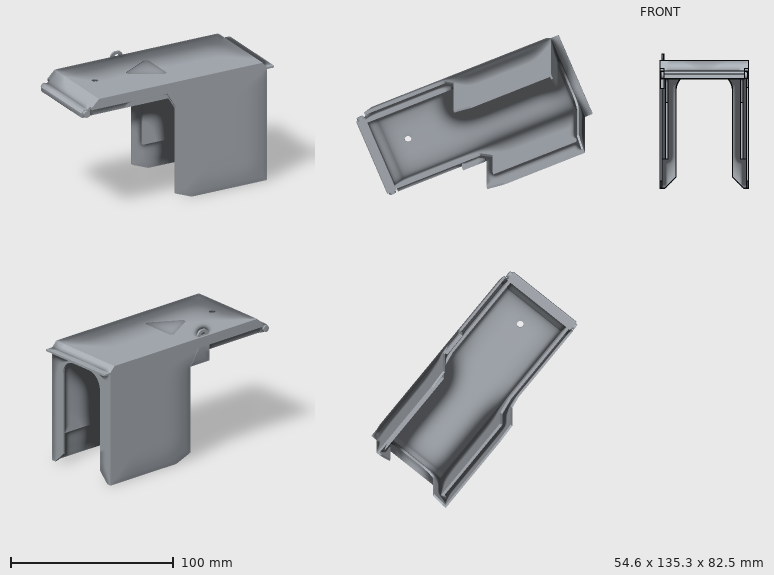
import cadquery as cq
import math


width = 54.6
wall = 1.3
lid_thickness = 1.5
lid_top = 78.5
rear_chamfer_y = 3.2
rear_chamfer_z = 3.6
side_length = 64.9
side_foot_run = 11.4
side_foot_rise = 4.4
lip_bottom = 72.0
throat_bottom = 62.0
throat_run = 6.0
nose_start = 119.25
half_width = width / 2
throat_slope = throat_run / (lip_bottom - throat_bottom)
nose_end = nose_start + lid_top - lip_bottom

flange_length = 5.0
flange_thickness = 1.2
flange_top = lid_top - rear_chamfer_z

opening_width = 34.6
opening_top = 70.3
opening_radius = 10.0
opening_foot = 7.0

bar_back = 124.2
bar_front = 130.35
bar_inset = 2.5
bar_bottom = 67.1
bar_bevel = 1.8
bar_edge_break = 0.4
pin_radius = 2.15
pin_inset = 0.8
pin_y = -127.3
pin_z = 69.5

rail_inset = 3.45
rail_thickness = 1.65
rail_length = 59.4
rail_bottom = 17.9

clip_inset = 0.4
clip_outer_inset = 2.5
clip_front = 80.85
clip_bottom = 61.2
clip_gap = 1.35
loop_inset = 1.3
loop_radius = 4.35
loop_height = 4.0
eye_radius = 2.0
eye_sill = 0.3

arrow_base_y = -62.1
arrow_tip_y = -83.8
arrow_side = 27.6
arrow_corner = 2.4
arrow_depth = 0.4
hole_diameter = 4.1
hole_y = -106.3


def plate(points, x_start, x_end):
    """Side profile given as (y, z) points, extruded from x_start to x_end."""
    return cq.Workplane("YZ", origin=(x_start, 0, 0)).polyline(points).close().extrude(x_end - x_start)


def both_sides(solid):
    """A solid together with its mirror image across the mid-plane of the cover."""
    return solid.union(solid.mirror("YZ"))


def throat_y(z):
    """Y of the oblique line between side wall and lip at height z."""
    return -side_length - throat_slope * (z - throat_bottom)


def make_shell():
    outline = [
        (0, 0),
        (0, flange_top),
        (-rear_chamfer_y, lid_top),
        (-nose_start, lid_top),
        (-nose_end, lip_bottom),
        (throat_y(lip_bottom), lip_bottom),
        (-side_length, throat_bottom),
        (-side_length, side_foot_rise),
        (-side_length + side_foot_run, 0),
    ]
    shell = plate(outline, -half_width, half_width)

    ceiling = lid_top - lid_thickness
    nose_shift = lid_thickness * math.tan(math.pi / 8)
    rear_angle = math.atan2(rear_chamfer_z, rear_chamfer_y)
    rear_shift = lid_thickness * math.tan(rear_angle / 2)
    cavity_corner_y = -rear_chamfer_y - rear_shift
    chamfer_foot_z = ceiling - (-wall - cavity_corner_y) * math.tan(rear_angle)
    cavity_nose_y = -nose_start + nose_shift
    cavity = [
        (-wall, 0),
        (-wall, chamfer_foot_z),
        (cavity_corner_y, ceiling),
        (cavity_nose_y, ceiling),
        (cavity_nose_y - ceiling, 0),
    ]
    return shell.cut(plate(cavity, -half_width + wall, half_width - wall))


def make_nose_notch():
    size_y = nose_end - bar_back
    notch = cq.Workplane("XY").box(bar_inset, size_y, lid_top, centered=False)
    return both_sides(notch.translate((-half_width, -nose_end, 0)))


def make_flange():
    flange = cq.Workplane("XY").box(width, flange_length + wall, flange_thickness, centered=False)
    return flange.translate((-half_width, -wall, flange_top - flange_thickness))


def make_rear_opening():
    arch = (
        cq.Workplane("XZ")
        .rect(opening_width, 2 * opening_top)
        .extrude(wall)
        .edges("|Y and >Z")
        .fillet(opening_radius)
    )
    half_opening = opening_width / 2
    flare = (
        cq.Workplane("XZ")
        .moveTo(-half_opening - opening_foot, 0)
        .lineTo(-half_opening, opening_foot)
        .lineTo(half_opening, opening_foot)
        .lineTo(half_opening + opening_foot, 0)
        .close()
        .extrude(wall)
    )
    return arch.union(flare)


def make_hinge():
    profile = [
        (-bar_back, bar_bottom),
        (-bar_back, lid_top - (bar_back - nose_start)),
        (-nose_end, lip_bottom),
        (-bar_front + bar_bevel, lip_bottom),
        (-bar_front, lip_bottom - bar_bevel),
        (-bar_front, bar_bottom + bar_edge_break),
        (-bar_front + bar_edge_break, bar_bottom),
    ]
    bar = plate(profile, -half_width + bar_inset, half_width - bar_inset)
    pin_length = width - 2 * pin_inset
    pin = cq.Workplane("YZ").center(pin_y, pin_z).circle(pin_radius).extrude(pin_length / 2, both=True)
    return bar.union(pin)


def make_rails():
    rail_top = lid_top - lid_thickness / 2
    rail_throat_z = throat_bottom - (side_length - rail_length) / throat_slope
    profile = [
        (-wall / 2, rail_bottom),
        (-wall / 2, flange_top - flange_thickness),
        (-rear_chamfer_y - wall / 2, rail_top),
        (-nose_start, rail_top),
        (-bar_back, lip_bottom),
        (-bar_back, bar_bottom),
        (throat_y(bar_bottom), bar_bottom),
        (-rail_length, rail_throat_z),
        (-rail_length, rail_bottom),
    ]
    rail_x = -half_width + rail_inset
    rail = plate(profile, rail_x, rail_x + rail_thickness)
    web = [
        (-wall / 2, rail_bottom),
        (-wall / 2, lip_bottom),
        (-wall - rail_thickness, lip_bottom),
        (-wall - rail_thickness, rail_bottom),
    ]
    return both_sides(rail.union(plate(web, -half_width + wall / 2, rail_x + rail_thickness)))


def make_clip():
    top = lid_top - lid_thickness / 2
    profile = [
        (throat_y(clip_bottom) - clip_gap, clip_bottom),
        (throat_y(lip_bottom) - clip_gap, lip_bottom),
        (throat_y(lip_bottom) - clip_gap, top),
        (-clip_front, top),
        (-clip_front, clip_bottom),
    ]
    return plate(profile, -half_width + clip_inset, -half_width + clip_outer_inset)


def half_disc(radius, base_z):
    """Upright half disc in the plane of the loop, with its straight edge at base_z."""
    centre_y = -clip_front + loop_radius
    return (
        cq.Workplane("YZ", origin=(-half_width + loop_inset, centre_y, base_z))
        .moveTo(-radius, 0)
        .threePointArc((0, radius), (radius, 0))
        .close()
        .extrude(clip_outer_inset - loop_inset)
    )


def make_loop():
    below_flat = cq.Workplane("XY").box(width, 2 * bar_front, 2 * (lid_top + loop_height))
    loop = half_disc(loop_radius, lid_top).intersect(below_flat)
    return loop.cut(half_disc(eye_radius, lid_top + eye_sill))


def make_arrow():
    cut_x = arrow_corner / 2
    cut_y = arrow_corner * math.sin(math.pi / 3)
    half_side = arrow_side / 2
    right = [
        (half_side - arrow_corner, arrow_base_y),
        (half_side - cut_x, arrow_base_y - cut_y),
        (cut_x, arrow_tip_y),
    ]
    left = [(-x, y) for x, y in reversed(right)]
    return (
        cq.Workplane("XY", origin=(0, 0, lid_top - arrow_depth))
        .polyline(right + left)
        .close()
        .extrude(arrow_depth)
    )


def make_hole():
    return cq.Workplane("XY").center(0, hole_y).circle(hole_diameter / 2).extrude(lid_top)


result = (
    make_shell()
    .cut(make_nose_notch())
    .union(make_flange())
    .cut(make_rear_opening())
    .union(make_hinge())
    .union(make_rails())
    .union(make_clip())
    .union(make_loop())
    .cut(make_arrow())
    .cut(make_hole())
)